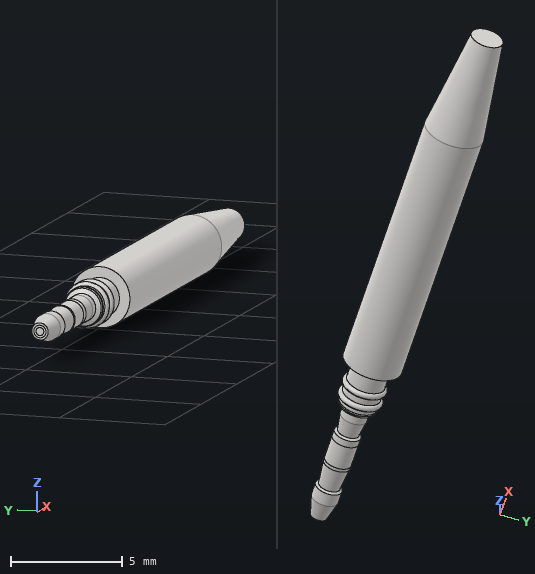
import cadquery as cq

TOTAL_LENGTH = 26.17
HOUSING_START = 8.37
HOUSING_TAPER_START = 21.1
HOUSING_RADIUS = 1.4
HOUSING_END_RADIUS = 0.75

STEM_RADIUS = 0.64
NOSE_RADIUS = 0.4
NOSE_LENGTH = 0.97
NECK_RADIUS = 0.51
SHOULDER_LENGTH = 0.08
TIP_SHOULDER = 1.6
TIP_END = 2.85
RING_START = 3.0
RING_END = 4.2
REAR_SHOULDER = 4.53
REAR_TAPER_END = 5.45

CORE_RADIUS = 0.18
LINER_RADIUS = 0.3

COLLAR_RADIUS = 0.903
FLANGE_START = 5.85
FLANGE_FACE_LENGTH = 0.1
FLANGE_FACE_RADIUS = 0.86
FLANGE_TAPER_LENGTH = 0.1
FLANGE_TAPER_START = FLANGE_START + FLANGE_FACE_LENGTH
COLLAR_START = 6.15

RIB_CENTRES = (6.52, 7.17)
RIB_RADIUS = 0.15


def turned(points):
    """Solid of revolution about X from (x, radius) points; the axis closes the outline."""
    first_x = points[0][0]
    last_x = points[-1][0]
    outline = [(first_x, 0), *points, (last_x, 0)]
    return cq.Workplane("XZ").polyline(outline).close().revolve(360, (0, 0, 0), (1, 0, 0))


def rod(start, end, radius):
    """Plain cylinder along X."""
    return turned([(start, radius), (end, radius)])


def make_core():
    return rod(0, TIP_END, CORE_RADIUS)


def make_liner():
    """Tube that surrounds the core over the length of the tip."""
    return rod(0, TIP_END, LINER_RADIUS).cut(rod(0, TIP_END, CORE_RADIUS))


def make_tip():
    """Tapered nose, land, neck and flared tail, bored through for the liner."""
    tip = turned([
        (0, NOSE_RADIUS),
        (NOSE_LENGTH, STEM_RADIUS),
        (TIP_SHOULDER, STEM_RADIUS),
        (TIP_SHOULDER + SHOULDER_LENGTH, NECK_RADIUS),
        (TIP_END, STEM_RADIUS),
    ])
    return tip.cut(rod(0, TIP_END, LINER_RADIUS))


def make_insulator():
    return rod(TIP_END, RING_START, STEM_RADIUS)


def make_ring():
    return rod(RING_START, RING_END, STEM_RADIUS)


def make_rear_contact():
    """Necked stem that ends in a flange with a coned face and a slightly tapered rim."""
    return turned([
        (RING_END, STEM_RADIUS),
        (REAR_SHOULDER, STEM_RADIUS),
        (REAR_SHOULDER + SHOULDER_LENGTH, NECK_RADIUS),
        (REAR_TAPER_END, STEM_RADIUS),
        (FLANGE_START, STEM_RADIUS),
        (FLANGE_TAPER_START, FLANGE_FACE_RADIUS),
        (FLANGE_TAPER_START + FLANGE_TAPER_LENGTH, COLLAR_RADIUS),
        (COLLAR_START, COLLAR_RADIUS),
    ])


def rounded_rib(centre):
    """Round-section rib, half sunk into the collar surface."""
    section = cq.Workplane("XZ").center(centre, COLLAR_RADIUS).circle(RIB_RADIUS)
    return section.revolve(360, (0, -COLLAR_RADIUS, 0), (1, -COLLAR_RADIUS, 0))


def make_collar():
    collar = rod(COLLAR_START, HOUSING_START, COLLAR_RADIUS)
    for centre in RIB_CENTRES:
        collar = collar.union(rounded_rib(centre))
    return collar


def make_housing():
    """Cylindrical grip with a tapered tail."""
    return turned([
        (HOUSING_START, HOUSING_RADIUS),
        (HOUSING_TAPER_START, HOUSING_RADIUS),
        (TOTAL_LENGTH, HOUSING_END_RADIUS),
    ])


core = make_core()
liner = make_liner()
tip = make_tip()
insulator = make_insulator()
ring = make_ring()
rear_contact = make_rear_contact()
collar = make_collar()
housing = make_housing()

result = cq.Compound.makeCompound([
    core.val(),
    liner.val(),
    tip.val(),
    insulator.val(),
    ring.val(),
    rear_contact.val(),
    collar.val(),
    housing.val(),
])